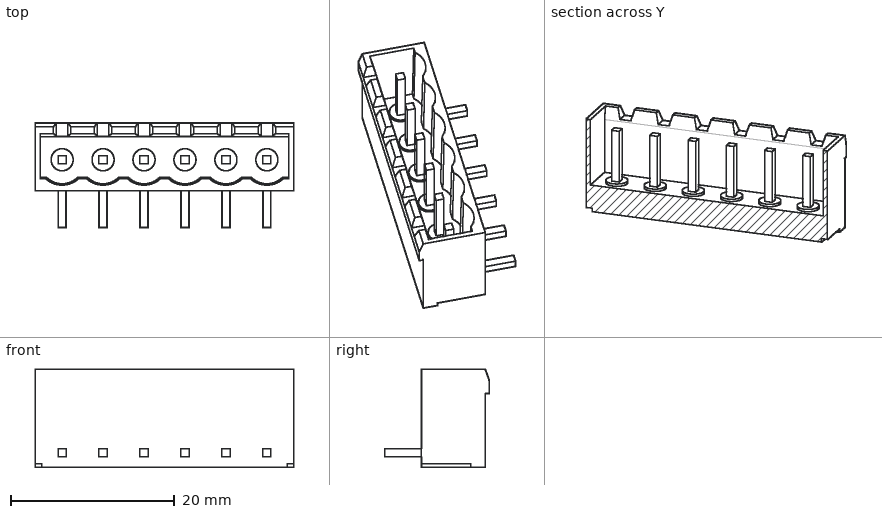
import cadquery as cq
import math

pin_count = 6
pitch = 5.0
end_margin = 3.3
body_length = (pin_count - 1) * pitch + 2 * end_margin
body_depth = 7.8
body_height = 12.0
pin_positions = [(i - (pin_count - 1) / 2) * pitch for i in range(pin_count)]

lip_overhang = 0.5
lip_height = 3.0
lip_back = body_depth + lip_overhang
bevel_angle = math.radians(70)
outer_bevel = 0.5
outer_bevel_drop = outer_bevel * math.tan(bevel_angle)

side_wall = 0.6
front_wall = 1.48
cavity_back = 6.62
cavity_floor = 3.5
cavity_depth = body_height - cavity_floor
cavity_length = body_length - 2 * side_wall
inner_bevel = 0.38
inner_bevel_drop = 1.6
front_draft_angle = math.radians(1.1)
front_draft = cavity_depth * math.tan(front_draft_angle)

scallop_center_y = 3.6
scallop_radius = 2.9

notch_floor_width = 1.4
notch_top_width = 2.15
notch_depth = outer_bevel_drop

pin_size = 1.0
pin_y = 3.8
pin_top = 10.4
tail_z = 1.8
tail_length = 4.5
collar_diameter = 2.7
collar_height = 0.3

step_width = 0.8
step_height = 0.45
step_length = 6.0


def along_x(points, length):
    """Extrude a closed (Y, Z) outline symmetrically along X."""
    return cq.Workplane("YZ").polyline(points).close().extrude(length / 2, both=True)


def make_shell():
    """Solid body with the bevelled latching lip at the rear."""
    return along_x(
        [
            (0, 0),
            (body_depth, 0),
            (body_depth, body_height - lip_height),
            (lip_back, body_height - lip_height),
            (lip_back, body_height - outer_bevel_drop),
            (lip_back - outer_bevel, body_height),
            (0, body_height),
        ],
        body_length,
    )


def make_cavity():
    """Cavity with a drafted front and a bevelled rear edge, plus the scallops."""
    cavity = along_x(
        [
            (front_wall + front_draft, cavity_floor),
            (cavity_back, cavity_floor),
            (cavity_back, body_height - inner_bevel_drop),
            (cavity_back + inner_bevel, body_height),
            (front_wall, body_height),
        ],
        cavity_length,
    )
    scallop_limit = cq.Workplane("XY").box(
        cavity_length, scallop_center_y, body_height, centered=(True, False, False)
    )
    for x in pin_positions:
        scallop = (
            cq.Workplane("XY", origin=(x, scallop_center_y, cavity_floor))
            .circle(scallop_radius - front_draft)
            .workplane(offset=cavity_depth)
            .circle(scallop_radius)
            .loft()
        )
        cavity = cavity.union(scallop.intersect(scallop_limit))
    return cavity


def make_notch(x):
    """Trapezoidal notch through the top of the rear wall, centred on a pin."""
    notch_run = lip_back - pin_y
    return (
        cq.Workplane("XZ", origin=(x, lip_back, body_height))
        .polyline(
            [
                (-notch_top_width / 2, 0),
                (-notch_floor_width / 2, -notch_depth),
                (notch_floor_width / 2, -notch_depth),
                (notch_top_width / 2, 0),
            ]
        )
        .close()
        .extrude(notch_run)
    )


def make_end_step(side):
    """Shallow step under one end; side is -1 or +1 along X."""
    center_x = side * (body_length - step_width) / 2
    return cq.Workplane("XY", origin=(center_x, 0, 0)).box(
        step_width, step_length, step_height, centered=(True, False, False)
    )


def make_pin(x):
    """L-shaped pin: upright contact, tail out of the front face, floor collar."""
    half = pin_size / 2
    upright_bottom = tail_z - half
    upright = cq.Workplane("XY", origin=(x, pin_y, upright_bottom)).box(
        pin_size, pin_size, pin_top - upright_bottom, centered=(True, True, False)
    )
    tail = cq.Workplane("XY", origin=(x, -tail_length, tail_z)).box(
        pin_size, tail_length + pin_y + half, pin_size, centered=(True, False, True)
    )
    collar = (
        cq.Workplane("XY", origin=(x, pin_y, cavity_floor))
        .circle(collar_diameter / 2)
        .extrude(collar_height)
    )
    return upright.union(tail).union(collar)


result = make_shell().cut(make_cavity())
for side in (-1, 1):
    result = result.cut(make_end_step(side))
for x in pin_positions:
    result = result.cut(make_notch(x))
for x in pin_positions:
    result = result.union(make_pin(x))